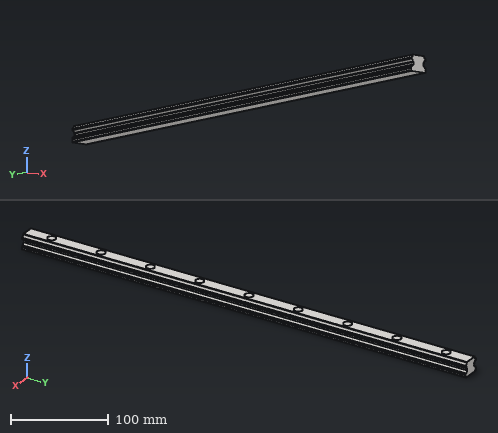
import cadquery as cq

RAIL_WIDTH = 20.0
RAIL_LENGTH = 540.0
RAIL_HEIGHT = 17.5

TOP_WIDTH = 14.8
TOP_CHAMFER = 0.5
LAND_TOP = 14.3
LAND_BOTTOM = 12.7
UPPER_TRACK_SAG = 0.75
LOWER_TRACK_SAG = 0.9
LOWER_TRACK_INNER_WIDTH = 15.2
LOWER_TRACK_END = 10.2

WAIST_WIDTH = 13.6
WAIST_TOP = 9.5
WAIST_BOTTOM = 7.3

SHOULDER_BOTTOM = 5.0
LEDGE_WIDTH = 0.8
SIDE_RELIEF = 0.2
LOCATING_FACE_TOP = 3.0
BOTTOM_CHAMFER = 0.8

SEAT_DIAMETER = 9.5
SEAT_DEPTH = 0.2
SEAT_PITCH = 60.0
SEAT_COUNT = 9


def make_half_rail():
    """Extrude the +X half of the cross-section along Y."""
    half_width = RAIL_WIDTH / 2
    half_top = TOP_WIDTH / 2
    half_waist = WAIST_WIDTH / 2
    relieved_side = half_width - SIDE_RELIEF
    return (
        cq.Workplane("XZ")
        .lineTo(half_width - BOTTOM_CHAMFER, 0)
        .lineTo(half_width, BOTTOM_CHAMFER)
        .lineTo(half_width, LOCATING_FACE_TOP)
        .lineTo(relieved_side, LOCATING_FACE_TOP)
        .lineTo(relieved_side, SHOULDER_BOTTOM)
        .lineTo(relieved_side - LEDGE_WIDTH, SHOULDER_BOTTOM)
        .lineTo(half_waist, WAIST_BOTTOM)
        .lineTo(half_waist, WAIST_TOP)
        .lineTo(LOWER_TRACK_INNER_WIDTH / 2, LOWER_TRACK_END)
        .sagittaArc((half_width, LAND_BOTTOM), LOWER_TRACK_SAG)
        .lineTo(half_width, LAND_TOP)
        .sagittaArc((half_top + TOP_CHAMFER, RAIL_HEIGHT - TOP_CHAMFER), UPPER_TRACK_SAG)
        .lineTo(half_top, RAIL_HEIGHT)
        .lineTo(0, RAIL_HEIGHT)
        .close()
        .extrude(RAIL_LENGTH / 2, both=True)
    )


def make_seats():
    """Cutters for the evenly spaced seats in the top face."""
    return (
        cq.Workplane("XY")
        .workplane(offset=RAIL_HEIGHT - SEAT_DEPTH)
        .rarray(1, SEAT_PITCH, 1, SEAT_COUNT)
        .circle(SEAT_DIAMETER / 2)
        .extrude(SEAT_DEPTH)
    )


half_rail = make_half_rail()
rail = half_rail.union(half_rail.mirror("YZ")).clean()
result = rail.cut(make_seats())